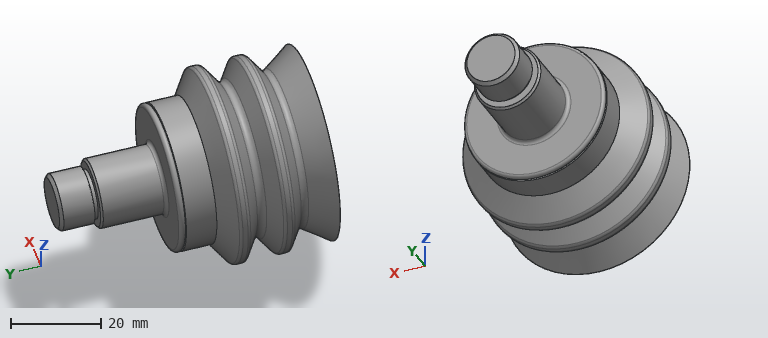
import cadquery as cq

TOTAL_LENGTH = 60.1

FOLD_RADIUS = 22.6
RIM_RADIUS = 22.5
RIM_TAPER = 0.69
FOLD_SLOPE = 0.7
LOWER_FOLD_Y = 11.8
UPPER_FOLD_Y = 22.05
FOLD_HALF_WIDTH = 1.05
CREST_ROUND = 0.9
THROAT_ROUND = 1.3

COLLAR_RADIUS = 34.0 / 2
COLLAR_TOP = 35.65
BEAD_HEIGHT = 1.55

STEM_RADIUS = 16.0 / 2
STEM_TOP = 51.1
STEM_CHAMFER = 0.5
STEM_ROOT_ROUND = 0.9
NECK_RADIUS = 11.4 / 2
NECK_TOP = 52.1
HEAD_RADIUS = 13.15 / 2
HEAD_CHAMFER = 0.8


def cylinder(radius, start, end):
    """Solid cylinder on the Y axis between two lengths."""
    return cq.Workplane("XZ", origin=(0, start, 0)).circle(radius).extrude(start - end)


def fillet_circle(body, radius, y, size):
    """Round the circular edge of the given radius at length y."""
    margin = 0.005
    reach = radius + margin
    edges = body.edges(cq.selectors.BoxSelector(
        (-reach, y - margin, -reach), (reach, y + margin, reach), boundingbox=True))
    return edges.fillet(size)


def make_bellows():
    """Lip cone and two folds, drawn sharp and then rounded at crests and throats."""
    lower_start = LOWER_FOLD_Y - FOLD_HALF_WIDTH
    lower_end = LOWER_FOLD_Y + FOLD_HALF_WIDTH
    upper_start = UPPER_FOLD_Y - FOLD_HALF_WIDTH
    upper_end = UPPER_FOLD_Y + FOLD_HALF_WIDTH

    throat_y = (RIM_RADIUS - FOLD_RADIUS + lower_start / FOLD_SLOPE) / (1 / FOLD_SLOPE + RIM_TAPER)
    throat_radius = RIM_RADIUS - RIM_TAPER * throat_y

    waist_y = (lower_end + upper_start) / 2
    waist_radius = FOLD_RADIUS - (upper_start - waist_y) / FOLD_SLOPE
    collar_start = upper_end + (FOLD_RADIUS - COLLAR_RADIUS) * FOLD_SLOPE

    bellows = cq.Workplane("XY").polyline([
        (0, 0),
        (RIM_RADIUS, 0),
        (throat_radius, throat_y),
        (FOLD_RADIUS, lower_start),
        (FOLD_RADIUS, lower_end),
        (waist_radius, waist_y),
        (FOLD_RADIUS, upper_start),
        (FOLD_RADIUS, upper_end),
        (COLLAR_RADIUS, collar_start),
        (0, collar_start),
    ]).close().revolve(360, (0, 0, 0), (0, 1, 0))

    for y in (lower_start, lower_end, upper_start, upper_end):
        bellows = fillet_circle(bellows, FOLD_RADIUS, y, CREST_ROUND)
    bellows = fillet_circle(bellows, throat_radius, throat_y, THROAT_ROUND)
    bellows = fillet_circle(bellows, waist_radius, waist_y, THROAT_ROUND)
    return bellows, collar_start


def make_collar(start):
    """Plain collar topped by a bead with a half-round rim."""
    bead_start = COLLAR_TOP - BEAD_HEIGHT
    bead_round = BEAD_HEIGHT / 2
    flat_radius = COLLAR_RADIUS - bead_round
    bead = (
        cq.Workplane("XY")
        .moveTo(0, bead_start)
        .lineTo(flat_radius, bead_start)
        .threePointArc((COLLAR_RADIUS, bead_start + bead_round), (flat_radius, COLLAR_TOP))
        .lineTo(0, COLLAR_TOP)
        .close()
        .revolve(360, (0, 0, 0), (0, 1, 0))
    )
    return cylinder(COLLAR_RADIUS, start, bead_start).union(bead)


def make_stem():
    """Chamfered stem, relief neck and chamfered head."""
    stem = cylinder(STEM_RADIUS, COLLAR_TOP, STEM_TOP).faces(">Y").chamfer(STEM_CHAMFER)
    neck = cylinder(NECK_RADIUS, STEM_TOP, NECK_TOP)
    head = cylinder(HEAD_RADIUS, NECK_TOP, TOTAL_LENGTH).faces(">Y").chamfer(HEAD_CHAMFER)
    return stem.union(neck).union(head)


bellows, collar_start = make_bellows()
result = bellows.union(make_collar(collar_start)).union(make_stem())
result = fillet_circle(result, STEM_RADIUS, COLLAR_TOP, STEM_ROOT_ROUND)